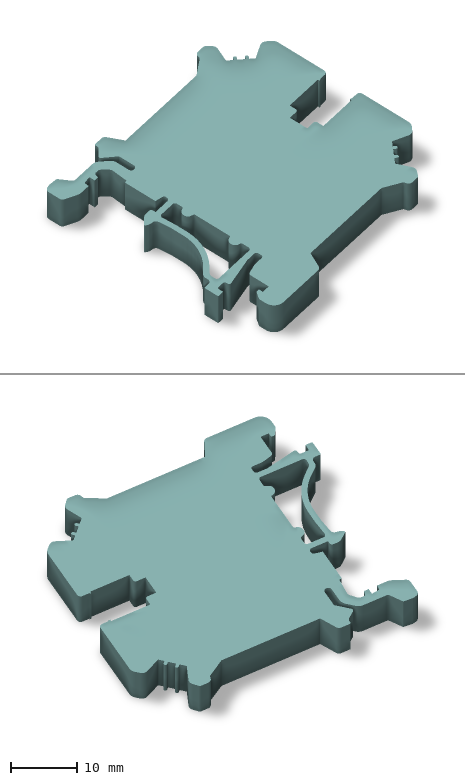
import cadquery as cq
import math

thickness = 6.1
height = 45.65

body_half_width = 18.1
body_low_y = 15.6
shoulder_y = 14.1
body_high_y = 32.65

slot_half_width = 3.3
slot_floor_y = 36.85
mouth_half_width = 3.1
mouth_low_y = 43.6
lip_half_width = 2.95
lip_height = 0.27
notch_half_width = 1.7
notch_floor_y = 34.9
notch_round = 0.4

head_corner_x = 14.8
head_round = 1.0
neck_x = 13.35
neck_y = 41.0
ear_half_width = 20.95
ear_root_x = 16.53
ear_root_y = neck_y - (ear_root_x - neck_x)

rib_width = 0.55
rib_length = 0.75
rib_distances = (1.3, 3.1)

roof_y = 10.6
rail_y = 6.4
left_roof_y = 8.95
right_foot_x = 21.2
right_foot_y = 3.45
right_slot_x = 12.95
hook_x = 17.45
hook_y = 4.98
hook_tip_x = 16.65
left_ear_x = -21.2
left_ear_y = 11.95
left_foot_x = -21.35
left_foot_y = 0.15
arm_outer_x = -18.95
arm_inner_x = -17.45
catch_x = -16.55
left_hook_x = -6.3
left_hook_y = 7.25
claw_x = 11.65
claw_y = 1.2
claw_tip_x = 12.8
claw_heel_x = 10.05

slit_top_y = 12.5
slit_width = 1.2
slit_end_round = 0.55
slit_end_x = -13.38
slit_bottom_y = slit_top_y - slit_width
arm_bend_y = 9.25

leg_thickness = 1.0
leg_taper_y = 8.5

window_left_x = -4.4
window_right_x = 10.55
beam_top_y = 7.15
beam_thickness = 0.95
beam_bend = 9.15
beam_bend_x = 5.0
beam_left_x = -1.35
beam_end_x = 9.1
beam_end_y = 2.5
beam_under_y = beam_top_y - beam_thickness
beam_under_bend_x = 4.75
beam_under_end_x = 8.5
beam_under_end_y = 1.65
window_round = 0.45
left_leg_outer_x = window_left_x - leg_thickness
right_leg_outer_x = window_right_x + leg_thickness

bump_centers_x = (-1.65, 7.6)
bump_drop = 1.15
bump_root_half_width = 1.1
bump_tip_half_width = 0.75
bump_root_round = 0.27
bump_tip_round = 0.9


def rounded_outline(corners):
    """Closed outline through (x, y, radius) corners; radius 0 keeps a corner sharp."""
    rounds = []
    count = len(corners)
    for i, (x, y, radius) in enumerate(corners):
        here = cq.Vector(x, y)
        to_last = (cq.Vector(*corners[i - 1][:2]) - here).normalized()
        to_next = (cq.Vector(*corners[(i + 1) % count][:2]) - here).normalized()
        if radius == 0:
            rounds.append((here, None, here))
            continue
        half_angle = to_last.getAngle(to_next) / 2
        setback = radius / math.tan(half_angle)
        bisector = (to_last + to_next).normalized()
        middle = here + bisector * (radius / math.sin(half_angle) - radius)
        rounds.append((here + to_last * setback, middle, here + to_next * setback))

    path = cq.Workplane("XY").moveTo(*rounds[0][2].toTuple()[:2])
    for start, middle, end in rounds[1:] + rounds[:1]:
        path = path.lineTo(*start.toTuple()[:2])
        if middle is not None:
            path = path.threePointArc(middle.toTuple()[:2], end.toTuple()[:2])
    return path.close()


def mirrored(corners):
    return [(-x, y, radius) for x, y, radius in reversed(corners)]



upper_right = [
    (notch_half_width, notch_floor_y, 0),
    (notch_half_width, slot_floor_y, notch_round),
    (slot_half_width, slot_floor_y, 0),
    (slot_half_width, mouth_low_y, 0),
    (lip_half_width, mouth_low_y, 0),
    (lip_half_width, mouth_low_y + lip_height, 0),
    (mouth_half_width, mouth_low_y + lip_height, 0),
    (mouth_half_width, height, 0.6),
    (13.35, height, 1.35),
    (head_corner_x, 44.15, head_round),
    (neck_x, neck_y, 0.15),
    (ear_root_x, ear_root_y, 0),
    (19.6, 39.1, 1.0),
    (ear_half_width, 37.95, 0.45),
    (ear_half_width, 35.95, 0.75),
    (19.9, 35.65, 0),
    (body_half_width, body_high_y, 0),
]

right_foot = [
    (body_half_width, body_low_y, 0),
    (right_foot_x, shoulder_y, 0.75),
    (right_foot_x, right_foot_y, 1.9),
    (17.95, right_foot_y, 0.7),
    (hook_tip_x, 4.4, 0.27),
    (hook_tip_x, hook_y, 0.15),
    (hook_x, hook_y, 0),
    (hook_x, rail_y, 0),
    (13.5, rail_y, 0.55),
    (right_slot_x, leg_taper_y, 0),
    (right_slot_x, roof_y, 0.4),
]

right_leg = [
    (right_leg_outer_x, roof_y, 0.45),
    (right_leg_outer_x, leg_taper_y, 0),
    (12.7, 2.9, 0.3),
    (claw_x, 2.85, 0.25),
    (claw_x, claw_y, 0.25),
    (claw_tip_x, claw_y, 0),
    (claw_tip_x, 0, 0.15),
    (claw_heel_x, 0, 0.15),
    (claw_heel_x, 1.7, 0.65),
]

beam_underside = [
    (beam_under_end_x, beam_under_end_y, 1.15),
    (beam_under_bend_x, beam_under_y, beam_bend - beam_thickness),
    (beam_left_x, beam_under_y, 0),
    (-4.3, 5.95, 0.7),
]

left_leg = [
    (-4.5, 4.65, 0.7),
    (-4.98, 3.95, 0.2),
    (left_hook_x, 5.65, 1.15),
    (left_hook_x, left_hook_y, 0.45),
    (left_leg_outer_x, left_hook_y, 0),
    (left_leg_outer_x, roof_y, 0.5),
    (-6.45, roof_y, 0.35),
    (-6.8, left_roof_y, 0),
]

left_arm = [
    (-12.75, left_roof_y, 0),
    (-12.85, 9.4, 0),
    (-16.0, 9.7, 0.7),
    (arm_inner_x, 8.5, 0.7),
    (arm_inner_x, 7.45, 0.35),
    (catch_x, 7.2, 0),
    (catch_x, rail_y, 0),
    (-17.6, rail_y, 0),
    (arm_inner_x, 5.0, 0.15),
    (catch_x, 4.95, 0),
    (catch_x, 2.85, 1.83),
    (-17.9, left_foot_y, 0.7),
    (-21.1, left_foot_y, 0.8),
    (left_foot_x, 1.35, 0.45),
    (-21.25, 2.95, 0.15),
    (arm_outer_x, 4.35, 0.55),
    (arm_outer_x, arm_bend_y, 1.35),
    (-16.95, slit_bottom_y, 1.6),
    (slit_end_x, slit_bottom_y, slit_end_round),
    (slit_end_x, slit_top_y, slit_end_round),
]

left_ear = [
    (-16.8, slit_top_y, 0),
    (-19.0, 10.23, 0.35),
    (-20.3, left_ear_y, 0.55),
    (left_ear_x, left_ear_y, 0.2),
    (left_ear_x, shoulder_y, 0.75),
    (-body_half_width, body_low_y, 0),
]


def roof_bump(center_x):
    """Corners of one bump, listed left to right along the window roof."""
    return [
        (center_x - bump_root_half_width, roof_y, bump_root_round),
        (center_x - bump_tip_half_width, roof_y - bump_drop, bump_tip_round),
        (center_x + bump_tip_half_width, roof_y - bump_drop, bump_tip_round),
        (center_x + bump_root_half_width, roof_y, bump_root_round),
    ]


window_roof = [(window_left_x, roof_y, window_round)]
for bump_x in bump_centers_x:
    window_roof += roof_bump(bump_x)
window_roof.append((window_right_x, roof_y, window_round))

window_floor = [
    (window_right_x, beam_end_y, window_round),
    (beam_end_x, beam_end_y, 0.9),
    (beam_bend_x, beam_top_y, beam_bend),
    (beam_left_x, beam_top_y, 0),
    (window_left_x, 7.0, window_round),
]


def plate(corners):
    return rounded_outline(corners).extrude(thickness)


def slope_rib(distance, side):
    """Round-ended rib standing square on the 45 degree face, at a distance below the neck."""
    half_diagonal = math.sqrt(0.5)
    foot_x = neck_x + distance * half_diagonal
    foot_y = neck_y - distance * half_diagonal
    return (
        cq.Workplane("XY")
        .center(side * foot_x, foot_y)
        .transformed(rotate=(0, 0, 90 - side * 45))
        .slot2D(2 * rib_length, rib_width)
        .extrude(thickness)
    )


outline = (
    upper_right + right_foot + right_leg + beam_underside + left_leg
    + left_arm + left_ear + mirrored(upper_right)
)
result = plate(outline).cut(plate(window_roof + window_floor))

for rib_distance in rib_distances:
    for side in (1, -1):
        result = result.union(slope_rib(rib_distance, side))